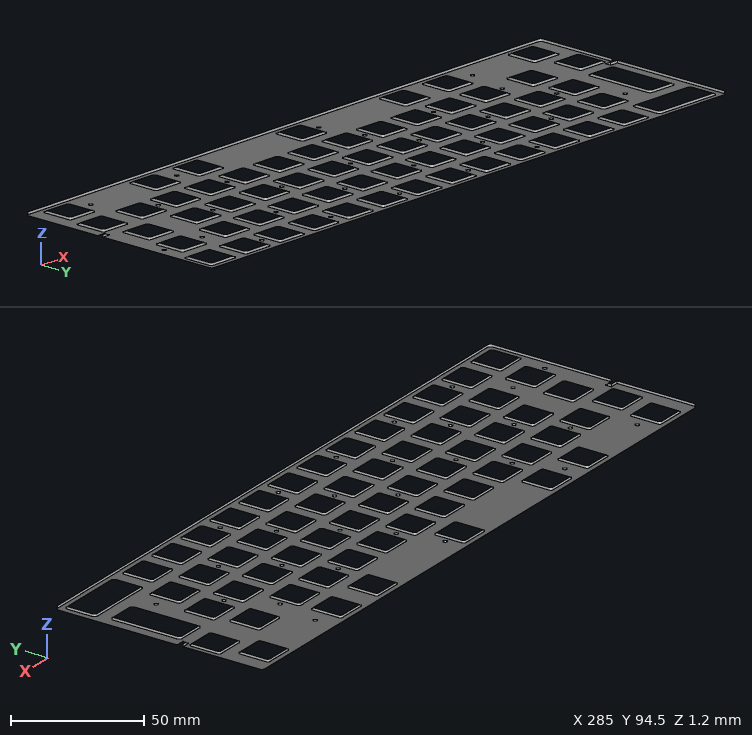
import cadquery as cq

plate_length = 285.0
plate_depth = 94.5
plate_thickness = 1.2
plate_corner_radius = 1.5

grid_columns = 15
grid_rows = 5
grid_overhang = 0.37
pitch = (plate_length + 2 * grid_overhang) / grid_columns

cutout_side = 14.0
cutout_corner_radius = 1.0
wide_slot_length = 32.0
tall_slot_length = 32.0
slot_corner_radius = 1.5
pin_hole_diameter = 1.62
notch_depth = 3.7
notch_width = 2.5

key_columns = [
    [0.5 + i for i in range(13)],
    [0.75] + [2 + i for i in range(12)],
    [0.875] + [2.25 + i for i in range(12)],
    [0.625] + [1.75 + i for i in range(11)] + [13.125, 14.5],
    [0.75, 3.25, 4.5, 7.5, 10.5, 11.75, 14.25],
]
pin_hole_columns = [
    [2, 4, 6, 8, 10],
    [0.25, 1.35, 3.5, 5.5, 7.5, 9.5, 11.5, 13.65],
    [2.75, 4.75, 6.75, 8.75, 10.75, 12.75],
    [2.25, 4.25, 8.25, 10.25, 12.25],
    [1.375, 3.875, 8, 12.475],
]
wide_slot_column = 14.0
tall_slot_column = 14.375
tall_slot_row = 1.5
notch_row = 2.5


def grid_point(column, row):
    """Plate position of a grid column (from the left) and row (rear row is 0)."""
    x = (column - grid_columns / 2) * pitch
    y = ((grid_rows - 1) / 2 - row) * pitch
    return (x, y)


def grid_points(columns_by_row):
    return [grid_point(column, row) for row, columns in enumerate(columns_by_row) for column in columns]


def rounded_cutters(points, length, depth, corner_radius):
    """Rounded rectangular prisms through the plate, one at each point."""
    prisms = cq.Workplane("XY").pushPoints(points).rect(length, depth).extrude(plate_thickness)
    return prisms.edges("|Z").fillet(corner_radius)


plate = cq.Workplane("XY").rect(plate_length, plate_depth).extrude(plate_thickness)
plate = plate.edges("|Z").fillet(plate_corner_radius)

plate = plate.cut(rounded_cutters(grid_points(key_columns), cutout_side, cutout_side, cutout_corner_radius))

wide_slot_center = grid_point(wide_slot_column, 0)
tall_slot_center = grid_point(tall_slot_column, tall_slot_row)
plate = plate.cut(rounded_cutters([wide_slot_center], wide_slot_length, cutout_side, slot_corner_radius))
plate = plate.cut(rounded_cutters([tall_slot_center], cutout_side, tall_slot_length, slot_corner_radius))

pin_holes = cq.Workplane("XY").pushPoints(grid_points(pin_hole_columns))
plate = plate.cut(pin_holes.circle(pin_hole_diameter / 2).extrude(plate_thickness))

notch_y = grid_point(0, notch_row)[1]
notch_points = [(side * plate_length / 2, notch_y) for side in (-1, 1)]
notches = cq.Workplane("XY").pushPoints(notch_points).rect(2 * notch_depth, notch_width)
result = plate.cut(notches.extrude(plate_thickness))